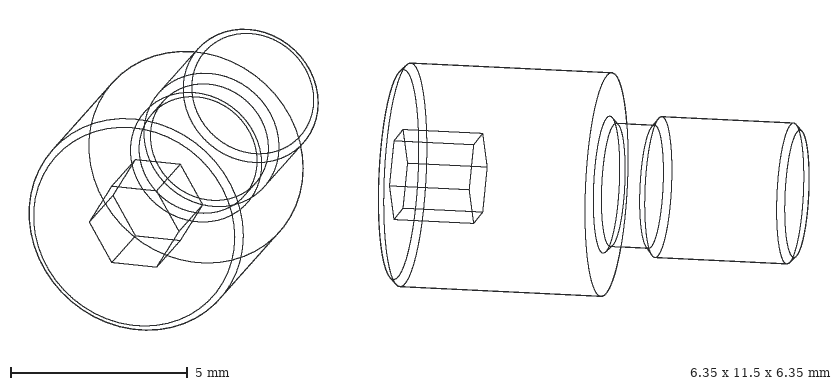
import cadquery as cq
import math

total_length = 11.5
head_length = 6.0
neck_length = 1.5
shank_start = head_length + neck_length

head_radius = 6.35 / 2
shank_radius = 4.0 / 2
neck_radius = 3.5 / 2

edge_chamfer = 0.2
neck_flare = 0.2

socket_across_flats = 2.3
socket_depth = 2.3


def make_body():
    """Revolve the stepped half-profile about the Y axis."""
    return (
        cq.Workplane("XY")
        .lineTo(head_radius - edge_chamfer, 0)
        .lineTo(head_radius, edge_chamfer)
        .lineTo(head_radius, head_length)
        .lineTo(neck_radius + neck_flare, head_length)
        .lineTo(neck_radius, head_length + neck_flare)
        .lineTo(neck_radius, shank_start - neck_flare)
        .lineTo(shank_radius, shank_start)
        .lineTo(shank_radius, total_length - edge_chamfer)
        .lineTo(shank_radius - edge_chamfer, total_length)
        .lineTo(0, total_length)
        .close()
        .revolve(360, (0, 0, 0), (0, 1, 0))
    )


def make_socket():
    """Hexagonal prism with two corners on the X axis, cut in from the head face."""
    across_corners = socket_across_flats / math.cos(math.pi / 6)
    return cq.Workplane("XZ").polygon(6, across_corners).extrude(-socket_depth)


result = make_body().cut(make_socket())